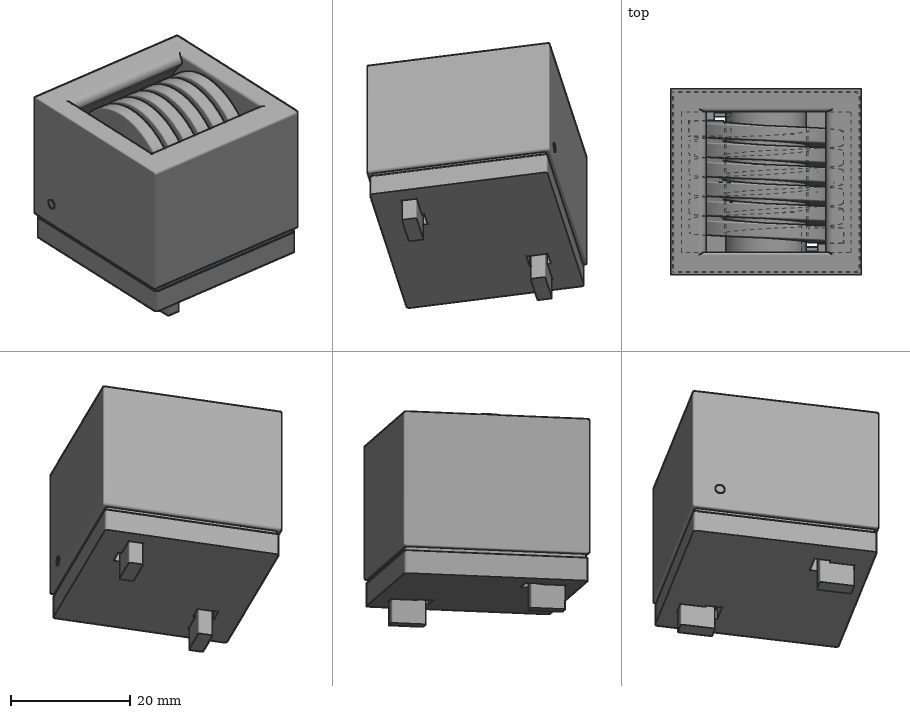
import cadquery as cq
import math

TOTAL_HEIGHT = 33.0
COIL_RADIUS = 12.95
WIRE_WIDTH = 5.95
WIRE_THICKNESS = 2.5
WIRE_ROUND = 0.3
PITCH = 3.27
TURNS = 5.5
AXIS_Z = TOTAL_HEIGHT - COIL_RADIUS
WIRE_RADIUS = COIL_RADIUS - WIRE_WIDTH / 2
COIL_LENGTH = PITCH * TURNS
LEAD_Y = COIL_LENGTH / 2

CORE_LENGTH = 32.0
CORE_DEPTH = 31.22
CORE_BOTTOM = 8.58
CORE_TOP = 31.65
CORE_ROUND = 0.25
CORE_SIDE_ROUND = 0.5

BASE_LENGTH = 31.48
BASE_DEPTH = 30.35
BASE_BOTTOM = 4.03
BASE_TOP = 7.95
BASE_ROUND = 0.53
NECK_INSET = 0.2

POST_DIAMETER = 13.5
CAVITY_RADIUS = 14.2
CAVITY_DEPTH = 23.55
CAVITY_FLOOR = 6.93
WINDOW_LENGTH = 20.0
LIP_ROUND = 1.32
LIP_UNDER_ROUND = 0.5
WINDOW_END_ROUND = 0.53

LEAD_CLEARANCE = 0.05
SLOT_INNER_X = 5.95
SLOT_OUTER_X = 8.65
SLOT_INNER_Y = 7.25
SLOT_OUTER_Y = 10.9
RECESS_OUTER_Y = 11.6
RECESS_DEPTH = 1.0

MARK_DIAMETER = 1.62
MARK_X = -11.32
MARK_Z = 12.6
MARK_DEPTH = 0.1


def box_between(low, high):
    """Axis-aligned box between two opposite corners."""
    size = [b - a for a, b in zip(low, high)]
    return cq.Workplane("XY").box(*size, centered=False).translate(low)


def centred_box(length, depth, bottom, top):
    """Box centred on the Z axis between two heights."""
    return box_between((-length / 2, -depth / 2, bottom), (length / 2, depth / 2, top))


def y_cylinder(radius, length):
    """Cylinder on the coil axis, centred on Y = 0."""
    plane = cq.Workplane("XZ", origin=(0, length / 2, AXIS_Z))
    return plane.circle(radius).extrude(length)


def lead_outline(side):
    """Rounded wire section at the height of the coil axis; side -1 is the -X lead."""
    plane = cq.Workplane("XY", origin=(side * WIRE_RADIUS, -side * LEAD_Y, AXIS_Z))
    return plane.sketch().rect(WIRE_WIDTH, WIRE_THICKNESS).vertices().fillet(WIRE_ROUND).finalize()


def make_core_block():
    block = centred_box(CORE_LENGTH, CORE_DEPTH, CORE_BOTTOM, CORE_TOP)
    block = block.edges("|Y").fillet(CORE_SIDE_ROUND)
    return block.faces("<Y or >Y").edges().fillet(CORE_ROUND)


def make_base():
    base = centred_box(BASE_LENGTH, BASE_DEPTH, BASE_BOTTOM, BASE_TOP)
    base = base.edges("|Z").fillet(BASE_ROUND)
    neck = centred_box(BASE_LENGTH - 2 * NECK_INSET, BASE_DEPTH - 2 * NECK_INSET, BASE_TOP, CORE_BOTTOM)
    return base.union(neck.edges("|Z").fillet(BASE_ROUND))


def arched_room():
    """Upper half of the coil room, a half cylinder on the coil axis."""
    upper_half = centred_box(2 * CAVITY_RADIUS, CAVITY_DEPTH, AXIS_Z, AXIS_Z + CAVITY_RADIUS)
    return y_cylinder(CAVITY_RADIUS, CAVITY_DEPTH).intersect(upper_half)


def straight_room():
    """Lower half of the coil room, with straight sides down to the floor."""
    return centred_box(2 * CAVITY_RADIUS, CAVITY_DEPTH, CAVITY_FLOOR, AXIS_Z)


def cut_window(core):
    """Arched room under a rectangular opening in the top."""
    window = centred_box(WINDOW_LENGTH, CAVITY_DEPTH, AXIS_Z, CORE_TOP)
    return core.cut(arched_room()).cut(window)


def round_window(body):
    """Round the top edges of the window and the undersides of its long lips."""
    half_x = WINDOW_LENGTH / 2
    half_y = CAVITY_DEPTH / 2
    lip_z = AXIS_Z + math.sqrt(CAVITY_RADIUS**2 - half_x**2)

    def edge_at(point):
        return cq.selectors.NearestToPointSelector(point)

    for height, radius in ((CORE_TOP, LIP_ROUND), (lip_z, LIP_UNDER_ROUND)):
        for side in (-1, 1):
            body = body.edges("|Y").edges(edge_at((side * half_x, 0, height))).fillet(radius)
    for side in (-1, 1):
        body = body.edges("|X").edges(edge_at((0, side * half_y, CORE_TOP))).fillet(WINDOW_END_ROUND)
    return body


def cut_lead_passages(body):
    """For each lead, a close-fitting hole joined to an open slot with a shallow recess around it."""
    slot = box_between((-SLOT_OUTER_X, SLOT_INNER_Y, 0), (-SLOT_INNER_X, SLOT_OUTER_Y, CAVITY_FLOOR))
    recess = box_between((-SLOT_OUTER_X, SLOT_INNER_Y, CAVITY_FLOOR - RECESS_DEPTH),
                         (-SLOT_INNER_X, RECESS_OUTER_Y, CAVITY_FLOOR))
    hole = cq.Workplane("XY", origin=(-WIRE_RADIUS, LEAD_Y, 0))
    hole = hole.rect(WIRE_WIDTH + 2 * LEAD_CLEARANCE, WIRE_THICKNESS + 2 * LEAD_CLEARANCE).extrude(AXIS_Z)
    passage = slot.union(recess).union(hole)
    for turn in (0, 180):
        body = body.cut(passage.rotate((0, 0, 0), (0, 0, 1), turn))
    return body


def cut_mark(body):
    mark = cq.Workplane("XZ", origin=(MARK_X, -CORE_DEPTH / 2, MARK_Z))
    return body.cut(mark.circle(MARK_DIAMETER / 2).extrude(-MARK_DEPTH))


def make_housing():
    """Core block, base plate and the post inside the coil, as one solid."""
    housing = round_window(cut_window(make_core_block()))
    housing = housing.union(make_base()).cut(straight_room())
    housing = cut_lead_passages(housing)
    housing = housing.union(y_cylinder(POST_DIAMETER / 2, CAVITY_DEPTH))
    return cut_mark(housing)


def make_winding():
    """Left-handed helix from the -X side over the top to the +X side, with two straight leads."""
    helix = cq.Wire.makeHelix(PITCH, COIL_LENGTH, WIRE_RADIUS, lefthand=True)
    start = cq.Plane(origin=(0, LEAD_Y, AXIS_Z), xDir=(-1, 0, 0), normal=(0, -1, 0))
    path = cq.Workplane(helix.moved(cq.Location(start)))
    winding = lead_outline(-1).sweep(path, isFrenet=True)
    for side in (-1, 1):
        winding = winding.union(lead_outline(side).extrude(-AXIS_Z))
    return winding


housing = make_housing()
winding = make_winding()

result = cq.Compound.makeCompound([housing.val(), winding.val()])